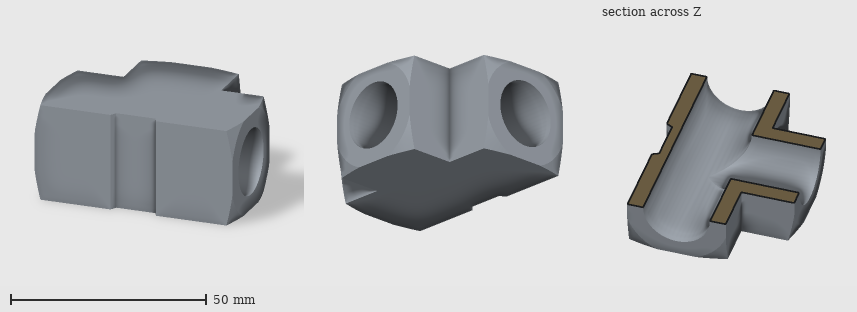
import cadquery as cq
import math

run_length = 54.35
run_width = 26.5
height = 25.95

total_depth = 40.65
stem_width = 26.8
stem_offset = 0.5

bore_diameter = 17.9
end_face_radius = 13.95
chamfer_angle = 20.0

groove_mouth = 12.5
groove_floor = 10.75
groove_depth = 1.7

run_axis_y = run_width / 2
RUN_LEFT = (-run_length / 2, run_axis_y, 0)
RUN_RIGHT = (run_length / 2, run_axis_y, 0)
STEM_END = (stem_offset, total_depth, 0)


def box(x_min, x_max, y_min, y_max):
    """Block of the full height, centred on Z = 0."""
    size = (x_max - x_min, y_max - y_min, height)
    block = cq.Workplane("XY").box(*size, centered=(False, False, True))
    return block.translate((x_min, y_min, 0))


def turned_envelope(end_center, outward, length):
    """Solid of revolution that trims a block's corners to a cone at one end."""
    outer_radius = 2 * end_face_radius
    cone_depth = (outer_radius - end_face_radius) * math.tan(math.radians(chamfer_angle))
    inward = tuple(-component for component in outward)
    plane = cq.Plane(origin=end_center, xDir=(0, 0, 1), normal=inward)
    cone = cq.Solid.makeCone(
        end_face_radius, outer_radius, cone_depth, cq.Vector(*end_center), cq.Vector(*inward)
    )
    shank = cq.Workplane(plane).workplane(offset=cone_depth).circle(outer_radius)
    return shank.extrude(length - cone_depth).union(cq.Workplane(obj=cone))


def bore(end_center, inward, length):
    """Round cutter running inward from an end face."""
    return cq.Workplane(
        obj=cq.Solid.makeCylinder(
            bore_diameter / 2, length, cq.Vector(*end_center), cq.Vector(*inward)
        )
    )


def groove():
    """Trapezoidal cutter through the full height."""
    return (
        cq.Workplane("XY")
        .polyline([
            (-groove_mouth / 2, 0),
            (groove_mouth / 2, 0),
            (groove_floor / 2, groove_depth),
            (-groove_floor / 2, groove_depth),
        ])
        .close()
        .extrude(height / 2, both=True)
    )


run = box(-run_length / 2, run_length / 2, 0, run_width)
run = run.intersect(turned_envelope(RUN_LEFT, (-1, 0, 0), run_length))
run = run.intersect(turned_envelope(RUN_RIGHT, (1, 0, 0), run_length))

stem_length = total_depth - run_axis_y
stem = box(stem_offset - stem_width / 2, stem_offset + stem_width / 2, run_axis_y, total_depth)
stem = stem.intersect(turned_envelope(STEM_END, (0, 1, 0), stem_length))

result = (
    run.union(stem)
    .cut(bore(RUN_LEFT, (1, 0, 0), run_length))
    .cut(bore(STEM_END, (0, -1, 0), stem_length))
    .cut(groove())
)